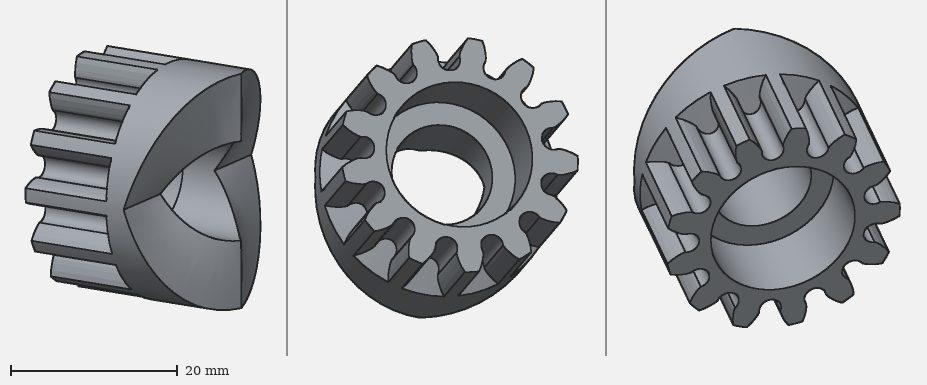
import cadquery as cq

outer_radius = 14.6
length = 21.4
bore_radius = 6.2
counterbore_radius = 9.0
counterbore_depth = 9.4
cutter_radius = 17.52

gap_count = 13
first_gap_angle = 0.8
gap_rim_length = 11.35
gap_root_length = 9.67
root_arc_radius = 1.35
root_arc_center = 11.8
flank_points = [(12.15, 1.3), (12.55, 1.43), (13.08, 1.7), (13.78, 2.13), (15.05, 3.2)]

cam_rise = 7.55
cam_low = length - cam_rise
cam_inner_radius = 2.92


def make_sleeve():
    """Cylinder with a through bore, counterbored from the -X end."""
    body = cq.Workplane("YZ").circle(outer_radius).extrude(length)
    bore = cq.Workplane("YZ").circle(bore_radius).extrude(length)
    counterbore = cq.Workplane("YZ").circle(counterbore_radius).extrude(counterbore_depth)
    return body.cut(bore).cut(counterbore)


def make_gap():
    """One tooth gap pointing along +Y, ended by a cone that leans toward the rim."""
    root = root_arc_center - root_arc_radius
    mirrored_flank = [(distance, -half_width) for distance, half_width in reversed(flank_points)]
    prism = (
        cq.Workplane("YZ")
        .polyline(mirrored_flank)
        .threePointArc((root, 0), flank_points[0])
        .polyline(flank_points[1:], includeCurrent=True)
        .close()
        .extrude(length)
    )
    slope = (gap_rim_length - gap_root_length) / (outer_radius - root)
    cone_length = gap_rim_length + slope * (cutter_radius - outer_radius)
    axis_length = gap_root_length - slope * root
    envelope = (
        cq.Workplane("XY")
        .polyline([(0, 0), (axis_length, 0), (cone_length, cutter_radius), (0, cutter_radius)])
        .close()
        .revolve(360, (0, 0, 0), (1, 0, 0))
    )
    return prism.intersect(envelope)


def make_cam_cutter():
    """Space above one quarter of the cam face, climbing from -Y to -Z."""
    quarters_per_turn = 4
    pitch = cam_rise * quarters_per_turn
    axis = cq.Vector(1, 0, 0)
    start = cq.Vector(cam_low, 0, 0)
    inner = cq.Wire.makeHelix(pitch, cam_rise, cam_inner_radius, start, axis)
    outer = cq.Wire.makeHelix(pitch, cam_rise, cutter_radius, start, axis)
    ramp = cq.Face.makeRuledSurface(inner.Edges()[0], outer.Edges()[0])
    cutter = cq.Workplane(cq.Solid.extrudeLinear(ramp, axis * length))
    return cutter.rotate((0, 0, 0), (1, 0, 0), 90)


result = make_sleeve()

gap = make_gap()
for index in range(gap_count):
    angle = first_gap_angle + index * 360 / gap_count
    result = result.cut(gap.rotate((0, 0, 0), (1, 0, 0), angle))

cam_quarter = make_cam_cutter()
for cutter in (cam_quarter, cam_quarter.mirror("XZ")):
    result = result.cut(cutter).cut(cutter.mirror("XY"))